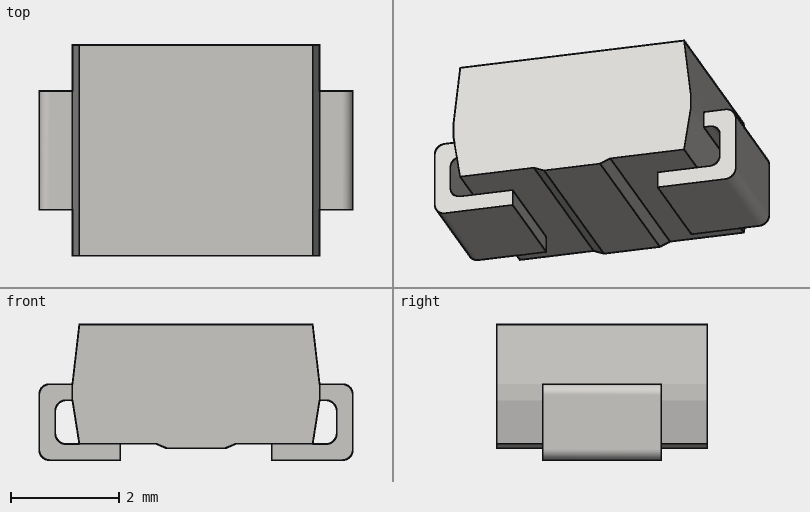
import cadquery as cq

overall_length = 5.8
overall_height = 2.51

lead_width = 2.2
lead_thickness = 0.3
lead_top = 1.41
foot_length = 1.5
bend_radius = 0.2

housing_width = 3.9
housing_length = 4.57
housing_end_length = 4.315
housing_bottom = lead_thickness
lead_underside = lead_top - lead_thickness

pad_bottom = 0.22
pad_root_length = 1.475
pad_face_length = 1.08


def make_housing():
    """Extrude the tapered profile, including the pad below it, along Y."""
    right_side = [
        (pad_face_length / 2, pad_bottom),
        (pad_root_length / 2, housing_bottom),
        (housing_end_length / 2, housing_bottom),
        (housing_length / 2, lead_underside),
        (housing_length / 2, lead_top),
        (housing_end_length / 2, overall_height),
    ]
    left_side = [(-x, z) for x, z in reversed(right_side)]
    return (
        cq.Workplane("XZ")
        .polyline(right_side + left_side)
        .close()
        .extrude(housing_width / 2, both=True)
    )


def make_left_lead():
    """C-shaped lead that butts against the housing side and folds under it."""
    outer_x = -overall_length / 2
    inner_x = outer_x + lead_thickness
    housing_x = -housing_length / 2
    foot_end_x = outer_x + foot_length
    lead = (
        cq.Workplane("XZ")
        .polyline([
            (housing_x, lead_top),
            (outer_x, lead_top),
            (outer_x, 0),
            (foot_end_x, 0),
            (foot_end_x, lead_thickness),
            (inner_x, lead_thickness),
            (inner_x, lead_underside),
            (housing_x, lead_underside),
        ])
        .close()
        .extrude(lead_width / 2, both=True)
    )
    outer_bends = lead.faces("<X").edges("|Y")
    inner_bends = lead.edges(cq.selectors.BoxSelector(
        (inner_x - bend_radius / 2, -lead_width, lead_thickness / 2),
        (inner_x + bend_radius / 2, lead_width, lead_top - lead_thickness / 2),
    )).edges("|Y")
    return outer_bends.add(inner_bends).fillet(bend_radius)


housing = make_housing()
left_lead = make_left_lead()

leads = [left_lead.rotate((0, 0, 0), (0, 0, 1), angle) for angle in (0, 180)]

result = cq.Compound.makeCompound([housing.val(), *[lead.val() for lead in leads]])